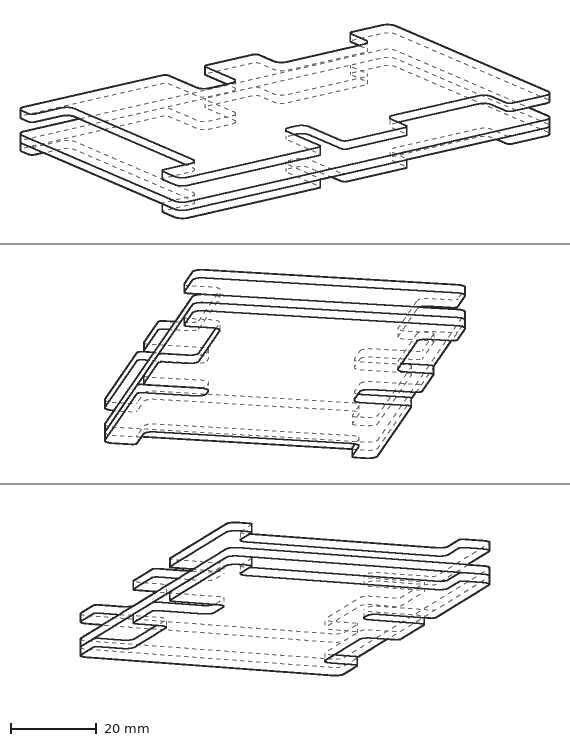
import cadquery as cq

WIDTH = 65.0
LENGTH = 108.0
STACK_HEIGHT = 10.0
LAYER_COUNT = 5
THICKNESS = STACK_HEIGHT / LAYER_COUNT

CORNER_RADIUS = 2.3
FLOOR_RADIUS = 2.2
MOUTH_RADIUS = 1.1

LEFT = -WIDTH / 2
RIGHT = WIDTH / 2
FRONT = -LENGTH / 2

SIDE_NOTCHES = [
    (LEFT, 1, 9.1, 15.4, 42.0),
    (LEFT, 1, 14.3, -10.7, 0.0),
    (RIGHT, -1, 9.1, 12.1, 41.0),
    (RIGHT, -1, 16.0, -13.0, -6.7),
]

FRONT_NOTCH_LEFT = -26.7
FRONT_NOTCH_RIGHT = 24.6
FRONT_NOTCH_DEPTH = 10.9


def plain_sheet(base_z):
    """Rectangular sheet with rounded corners, its underside at base_z."""
    sheet = cq.Workplane("XY").workplane(offset=base_z).rect(WIDTH, LENGTH).extrude(THICKNESS)
    return sheet.edges("|Z").fillet(CORNER_RADIUS)


def round_corners(sheet, corners, radius, base_z):
    """Fillet the upright edges that stand at the given XY corners."""
    for x, y in corners:
        middle = (x, y, base_z + THICKNESS / 2)
        sheet = sheet.edges("|Z").edges(cq.NearestToPointSelector(middle)).fillet(radius)
    return sheet


def cut_notch(sheet, mouth, floor, base_z):
    """Cut a notch through the sheet, given the two corners of its mouth and the two of its floor."""
    outline = [mouth[0], floor[0], floor[1], mouth[1]]
    notch = cq.Workplane("XY").workplane(offset=base_z).polyline(outline).close().extrude(THICKNESS)
    sheet = sheet.cut(notch)
    sheet = round_corners(sheet, floor, FLOOR_RADIUS, base_z)
    return round_corners(sheet, mouth, MOUTH_RADIUS, base_z)


def notched_sheet(base_z):
    """Sheet with two notches in each long edge and a wide one in the front edge."""
    sheet = plain_sheet(base_z)
    for edge_x, inward, depth, low_y, high_y in SIDE_NOTCHES:
        floor_x = edge_x + inward * depth
        mouth = [(edge_x, low_y), (edge_x, high_y)]
        floor = [(floor_x, low_y), (floor_x, high_y)]
        sheet = cut_notch(sheet, mouth, floor, base_z)

    front_floor_y = FRONT + FRONT_NOTCH_DEPTH
    mouth = [(FRONT_NOTCH_LEFT, FRONT), (FRONT_NOTCH_RIGHT, FRONT)]
    floor = [(FRONT_NOTCH_LEFT, front_floor_y), (FRONT_NOTCH_RIGHT, front_floor_y)]
    return cut_notch(sheet, mouth, floor, base_z)


middle_sheet = plain_sheet(THICKNESS)
notched_sheets = [notched_sheet(base_z) for base_z in (0, STACK_HEIGHT - THICKNESS)]

result = cq.Compound.makeCompound([middle_sheet.val(), *[sheet.val() for sheet in notched_sheets]])